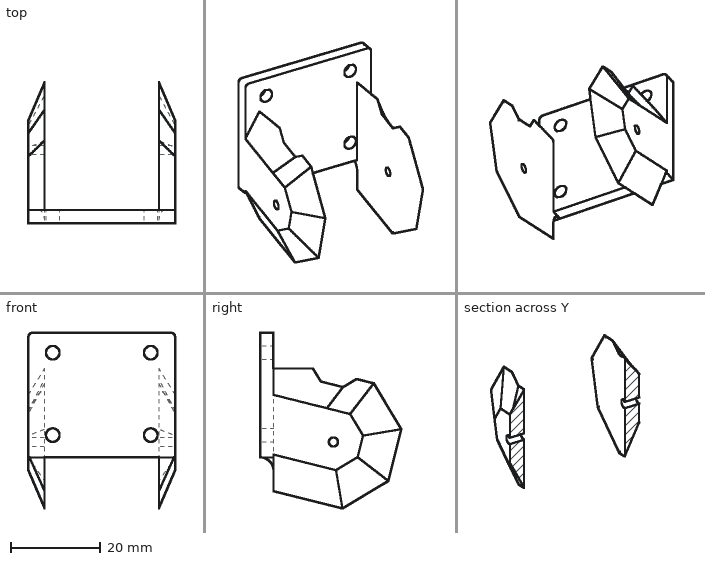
import cadquery as cq
import math

plate_width = 33.0
plate_height = 28.0
plate_thickness = 3.0
plate_corner_radius = 1.0
screw_diameter = 3.0
screw_spacing_x = 22.0
screw_spacing_z = 18.5
screw_bottom_z = 5.0

arm_outer_x = plate_width / 2
arm_inner_x = 12.8
pivot_diameter = 2.0
pivot_y = 16.45
pivot_z = 3.46
arm_tilt = math.atan(1 / 4)

inner_tip_u = 14.1
inner_top_v = 15.0
inner_bottom_v = -14.0
inner_chamfer = 8.5
inner_root_top_z = 20.0

outer_tip_u = 6.1
outer_top_v = 7.0
outer_bottom_v = -6.0
outer_chamfer = 4.0

notch_depth = 2.5
notch_floor_width = 5.1
notch_centre_u = -3.45
faded_floor_width = 3.58
faded_centre_u = -5.03


def notch_stations(centre, floor_width):
    """Positions along u of the notch corners, from the tip towards the plate."""
    half_floor = floor_width / 2
    half_mouth = half_floor + notch_depth
    return [centre + offset for offset in (half_mouth, half_floor, -half_floor, -half_mouth)]


def arm_point(u, v):
    """(Y, Z) of a point given in the tilted arm frame around the pivot."""
    y = pivot_y + u * math.cos(arm_tilt) + v * math.sin(arm_tilt)
    z = pivot_z - u * math.sin(arm_tilt) + v * math.cos(arm_tilt)
    return (y, z)


def root_z(v):
    """Height at which the tilted line at height v meets the back of the plate."""
    return pivot_z + v / math.cos(arm_tilt) + (pivot_y - plate_thickness) * math.tan(arm_tilt)


def head_points(tip_u, top_v, bottom_v, chamfer):
    """Chamfered end of the arm, from its lower edge around the tip to its upper edge."""
    return [
        arm_point(tip_u - chamfer, bottom_v),
        arm_point(tip_u, bottom_v + chamfer),
        arm_point(tip_u, top_v - chamfer),
        arm_point(tip_u - chamfer, top_v),
    ]


def arm_section(x, head, upper_edge, root_bottom, root_top, fillet_top):
    """Closed arm outline at a given X, running into the plate through a concave quarter round."""
    fillet_bottom = fillet_top - plate_thickness
    round_middle = plate_thickness * math.sin(math.pi / 4)
    outline = cq.Workplane("YZ", origin=(x, 0, 0)).moveTo(plate_thickness, root_bottom)
    for point in head + upper_edge:
        outline = outline.lineTo(*point)
    outline = outline.lineTo(plate_thickness, root_top)
    outline = outline.lineTo(0, root_top)
    outline = outline.lineTo(0, fillet_top)
    outline = outline.threePointArc(
        (round_middle, fillet_bottom + round_middle),
        (plate_thickness, fillet_bottom),
    )
    return outline.close().val()


def make_plate():
    plate = cq.Workplane("XY").box(
        plate_width, plate_thickness, plate_height, centered=(True, False, False)
    )
    plate = plate.edges("|Y and >Z").fillet(plate_corner_radius)
    for x in (-screw_spacing_x / 2, screw_spacing_x / 2):
        for z in (screw_bottom_z, screw_bottom_z + screw_spacing_z):
            hole = cq.Solid.makeCylinder(
                screw_diameter / 2, plate_thickness, cq.Vector(x, 0, z), cq.Vector(0, 1, 0)
            )
            plate = plate.cut(cq.Workplane(hole))
    return plate


def make_arm():
    """Arm on the +X side, ruled between its inner and outer sections."""
    floor_v = inner_top_v - notch_depth
    tip_corner, tip_floor, root_floor, root_corner = notch_stations(notch_centre_u, notch_floor_width)
    root_corner_point = arm_point(root_corner, inner_top_v)
    inner_edge = [
        arm_point(tip_corner, inner_top_v),
        arm_point(tip_floor, floor_v),
        arm_point(root_floor, floor_v),
        (root_corner_point[0], inner_root_top_z),
    ]
    outer_edge = [arm_point(u, outer_top_v) for u in notch_stations(faded_centre_u, faded_floor_width)]

    inner_root = root_z(inner_bottom_v)
    outer_root = root_z(outer_bottom_v)
    inner_head = head_points(inner_tip_u, inner_top_v, inner_bottom_v, inner_chamfer)
    outer_head = head_points(outer_tip_u, outer_top_v, outer_bottom_v, outer_chamfer)
    inner_wire = arm_section(arm_inner_x, inner_head, inner_edge, inner_root, inner_root_top_z, 0)
    outer_wire = arm_section(
        arm_outer_x, outer_head, outer_edge, outer_root, root_z(outer_top_v), outer_root - inner_root
    )
    arm = cq.Solid.makeLoft([inner_wire, outer_wire], True)
    pivot_hole = cq.Solid.makeCylinder(
        pivot_diameter / 2, arm_outer_x, cq.Vector(0, pivot_y, pivot_z), cq.Vector(1, 0, 0)
    )
    return cq.Workplane(arm).cut(cq.Workplane(pivot_hole))


right_arm = make_arm()
left_arm = right_arm.mirror("YZ")
result = make_plate().union(right_arm).union(left_arm)